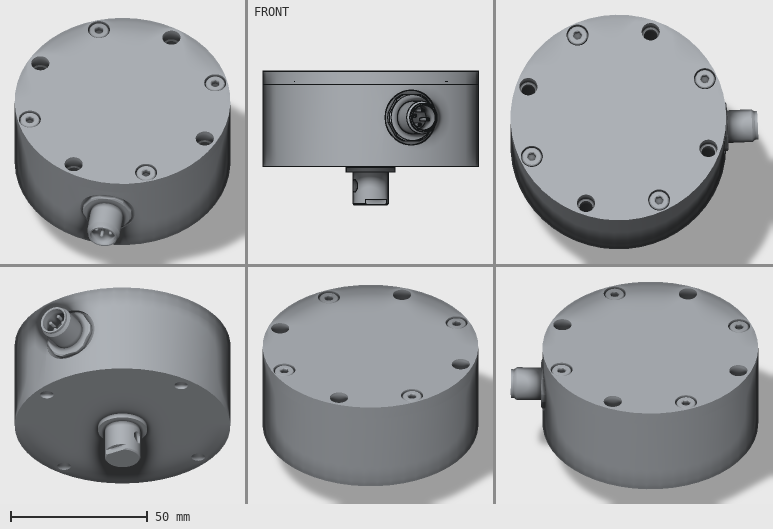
import cadquery as cq
import math

body_diameter = 79.0
housing_height = 30.05
lid_thickness = 5.0
lid_top = housing_height + lid_thickness
bolt_circle_radius = 35.0
holes_per_circle = 4

lid_mount_diameter = 6.65
housing_mount_diameter = 5.0

screw_recess_diameter = 8.1
screw_head_diameter = 7.0
screw_head_height = 3.55
screw_head_chamfer = 0.35
screw_sink = 0.3
screw_shank_diameter = 4.0
screw_shank_length = 8.9
socket_width = 2.8
socket_mouth_diameter = 3.55
socket_depth = 2.0
screw_head_top = lid_top - screw_sink
screw_head_seat = screw_head_top - screw_head_height
screw_tip = screw_head_seat - screw_shank_length

turn_angle = 22.5

shaft_diameter = 13.0
shaft_length = 14.0
shaft_end_chamfer = 0.4
flange_diameter = 18.0
flange_thickness = 1.7
flange_gap = 0.3
cross_hole_diameter = 4.6
cross_hole_z = -shaft_length / 2
flat_distance = 5.05
flat_height = 2.0

connector_z = 18.0
spotface_diameter = 20.0
spotface_distance = 38.0
nut_width = 17.0
nut_corner_diameter = 18.0
nut_face_distance = 40.0
nut_face_diameter = 16.8
barrel_diameter = 12.0
barrel_shoulder_distance = 48.9
nose_diameter = 10.5
nose_distance = 50.0
connector_end_distance = 51.05
bore_diameter = 9.0
bore_mouth_diameter = 9.5
bore_depth = 9.0
contact_count = 4
contact_diameter = 1.2
contact_circle_radius = 2.7
contact_length = 7.0
contact_tip_chamfer = 0.35
contact_start_angle = -15


def circle_places(first_angle):
    """Centres of one set of holes on the bolt circle."""
    angles = [math.radians(first_angle + i * 360 / holes_per_circle) for i in range(holes_per_circle)]
    return [(bolt_circle_radius * math.cos(a), bolt_circle_radius * math.sin(a)) for a in angles]


mount_places = circle_places(0)
screw_places = circle_places(45)


def cylinder(diameter, bottom, top):
    """Upright cylinder on the Z axis."""
    return cq.Workplane("XY").workplane(offset=bottom).circle(diameter / 2).extrude(top - bottom)


def drill(body, places, diameter, bottom, top):
    """Cut one upright hole at each place."""
    hole = cylinder(diameter, bottom, top)
    for x, y in places:
        body = body.cut(hole.translate((x, y, 0)))
    return body


def to_connector_axis(body):
    """Swing a body built along +Z onto the connector axis."""
    swung = body.rotate((0, 0, 0), (1, 0, 0), 90).translate((0, 0, connector_z))
    return swung.rotate((0, 0, 0), (0, 0, 1), turn_angle)


def make_housing():
    housing = cylinder(body_diameter, 0, housing_height)
    housing = drill(housing, mount_places, housing_mount_diameter, 0, housing_height)
    housing = drill(housing, screw_places, screw_shank_diameter, screw_tip, housing_height)
    spotface = cylinder(spotface_diameter, spotface_distance, body_diameter / 2)
    return housing.cut(to_connector_axis(spotface))


def make_lid():
    lid = cylinder(body_diameter, housing_height, lid_top)
    lid = drill(lid, mount_places, lid_mount_diameter, housing_height, lid_top)
    lid = drill(lid, screw_places, screw_shank_diameter, housing_height, lid_top)
    return drill(lid, screw_places, screw_recess_diameter, screw_head_seat, lid_top)


def make_screw():
    """Socket head screw on the Z axis, at its final height."""
    head = cylinder(screw_head_diameter, screw_head_seat, screw_head_top)
    head = head.faces(">Z").edges().chamfer(screw_head_chamfer)
    screw = head.union(cylinder(screw_shank_diameter, screw_tip, screw_head_seat))

    socket_corner_diameter = socket_width / math.cos(math.pi / 6)
    top_plane = cq.Workplane("XY").workplane(offset=screw_head_top)
    socket = top_plane.polygon(6, socket_corner_diameter).extrude(-socket_depth)
    mouth_depth = (socket_mouth_diameter - socket_width) / 2
    mouth = top_plane.circle(socket_mouth_diameter / 2).extrude(-mouth_depth, taper=45)
    return screw.cut(socket).cut(mouth)


def make_shaft():
    shaft = cylinder(shaft_diameter, -shaft_length, 0).faces("<Z").edges().chamfer(shaft_end_chamfer)
    shaft = shaft.union(cylinder(flange_diameter, -flange_gap - flange_thickness, -flange_gap))

    cross_hole = cq.Workplane("YZ").center(0, cross_hole_z).circle(cross_hole_diameter / 2)
    shaft = shaft.cut(cross_hole.extrude(shaft_diameter, both=True))

    flat_cutter = cq.Workplane("XY").box(
        shaft_diameter, shaft_diameter, flat_height, centered=(True, False, False)
    )
    shaft = shaft.cut(flat_cutter.translate((0, -flat_distance - shaft_diameter, -shaft_length)))
    return shaft.rotate((0, 0, 0), (0, 0, 1), turn_angle)


def make_contact():
    """One contact pin standing on the bore floor, on the connector axis."""
    floor = connector_end_distance - bore_depth
    contact = cylinder(contact_diameter, floor, floor + contact_length)
    return contact.faces(">Z").edges().chamfer(contact_tip_chamfer)


def make_connector():
    """Nut, barrel and contact pins in one body, built along +Z and then swung into place."""
    nut_corners = nut_width / math.cos(math.pi / 6)
    nut = cq.Workplane("XY").workplane(offset=spotface_distance).polygon(6, nut_corners)
    nut = nut.extrude(nut_face_distance - spotface_distance)
    nut_blank = cylinder(nut_corner_diameter, spotface_distance, nut_face_distance)
    nut_chamfer = (nut_corner_diameter - nut_face_diameter) / 2
    nut_blank = nut_blank.faces(">Z").edges().chamfer(nut_chamfer * math.tan(math.pi / 6), nut_chamfer)
    nut = nut.intersect(nut_blank)

    bore_floor = connector_end_distance - bore_depth
    mouth_depth = (bore_mouth_diameter - bore_diameter) / 2
    half_section = [
        (0, nut_face_distance),
        (barrel_diameter / 2, nut_face_distance),
        (barrel_diameter / 2, barrel_shoulder_distance),
        (nose_diameter / 2, nose_distance),
        (nose_diameter / 2, connector_end_distance),
        (bore_mouth_diameter / 2, connector_end_distance),
        (bore_diameter / 2, connector_end_distance - mouth_depth),
        (bore_diameter / 2, bore_floor),
        (0, bore_floor),
    ]
    barrel = cq.Workplane("XZ").polyline(half_section).close().revolve(360, (0, 0), (0, 1))
    connector = nut.union(barrel)

    contact = make_contact().translate((contact_circle_radius, 0, 0))
    for i in range(contact_count):
        angle = contact_start_angle + i * 360 / contact_count
        connector = connector.union(contact.rotate((0, 0, 0), (0, 0, 1), angle))
    return to_connector_axis(connector)


housing = make_housing()
lid = make_lid()
shaft = make_shaft()
connector = make_connector()
screws = [make_screw().translate((x, y, 0)) for x, y in screw_places]

result = cq.Compound.makeCompound(
    [housing.val(), lid.val(), shaft.val(), connector.val(), *[screw.val() for screw in screws]]
)